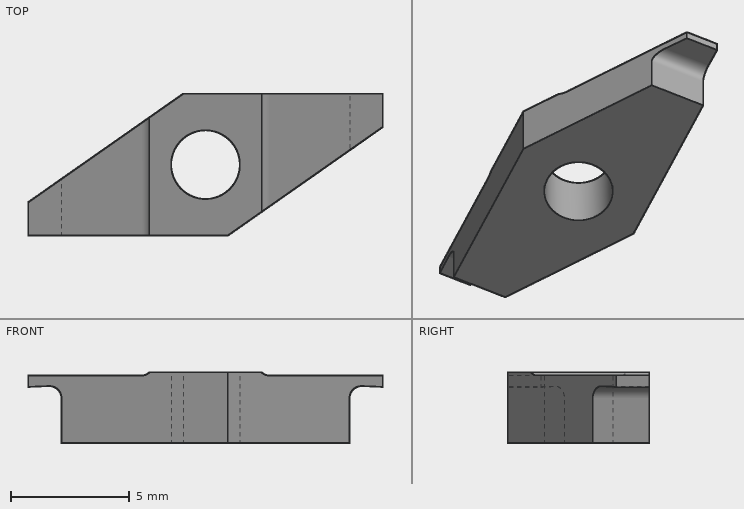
import cadquery as cq
import math

length = 15.0
width = 6.0
height = 3.0
tip_width = 1.41
flank_angle = 35.0
hole_diameter = 2.9
land_half_length = 2.37
land_height = 0.14
step_run = 0.32
tip_thickness = 0.5
overhang = 1.41
relief_angle = 2.5
undercut_radius = 0.51

half_length = length / 2
half_width = width / 2
tip_top = height - land_height
cut_margin = 0.15


def make_blank():
    """Parallelogram-like prism with squared-off tips."""
    flank_run = (width - tip_width) / math.tan(math.radians(flank_angle))
    corner_x = half_length - flank_run
    outline = [
        (-half_length, -half_width),
        (corner_x, -half_width),
        (half_length, half_width - tip_width),
        (half_length, half_width),
        (-corner_x, half_width),
        (-half_length, -half_width + tip_width),
    ]
    return cq.Workplane("XY").polyline(outline).close().extrude(height)


def extrude_across(profile):
    """Extrude an XZ profile beyond both sides of the blank."""
    return profile.close().extrude(half_width + cut_margin, both=True)


def make_step_cutter():
    """Material above the right tip, with a step rounded into its floor."""
    radius = (step_run**2 + land_height**2) / (2 * land_height)
    step_end = land_half_length + step_run
    half_sweep = math.asin(step_run / radius) / 2
    arc_middle = (
        step_end - radius * math.sin(half_sweep),
        tip_top + radius * (1 - math.cos(half_sweep)),
    )
    profile = (
        cq.Workplane("XZ")
        .moveTo(land_half_length, height)
        .threePointArc(arc_middle, (step_end, tip_top))
        .lineTo(half_length + cut_margin, tip_top)
        .lineTo(half_length + cut_margin, height)
    )
    return extrude_across(profile)


def make_undercut_cutter():
    """Material below the right tip, with a relieved roof and rounded root."""
    wall_x = half_length - overhang
    slope = math.tan(math.radians(relief_angle))
    edge_z = tip_top - tip_thickness
    profile = (
        cq.Workplane("XZ")
        .moveTo(wall_x, 0)
        .lineTo(half_length + cut_margin, 0)
        .lineTo(half_length + cut_margin, edge_z - cut_margin * slope)
        .lineTo(wall_x, edge_z + overhang * slope)
    )
    cutter = extrude_across(profile)
    root_edge = cutter.faces("<X").edges(">Z")
    return root_edge.fillet(undercut_radius)


result = make_blank()
for cutter in (make_step_cutter(), make_undercut_cutter()):
    for angle in (0, 180):
        result = result.cut(cutter.rotate((0, 0, 0), (0, 0, 1), angle))

result = result.faces("<Z").workplane(origin=(0, 0, 0)).hole(hole_diameter)